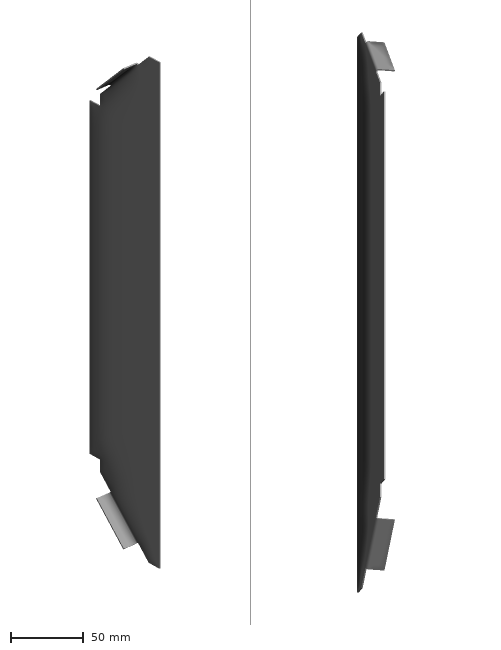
import cadquery as cq
import math

height = 398.0
width = 72.5
depth = 13.0
sheet = 1.0

step_width = 10.7
step_drop = 60.0
bevel = 50.5

tab_length = 39.8
bend_inner = 1.0
bend_outer = bend_inner + sheet

half_height = height / 2
half_strip = half_height - step_drop
bevel_low_z = half_height - bevel
bevel_high_x = step_width + bevel


def make_plate():
    """Flat sheet from Y = -sheet to Y = 0, symmetric about Z = 0."""
    upper_edge = [
        (0, half_strip),
        (step_width, half_strip),
        (step_width, bevel_low_z),
        (bevel_high_x, half_height),
        (width, half_height),
    ]
    lower_edge = [(x, -z) for x, z in reversed(upper_edge)]
    return cq.Workplane("XZ").polyline(upper_edge + lower_edge).close().extrude(sheet)


def make_upper_tab():
    """Bend and straight flange, swept along the upper bevel."""
    bevel_middle = cq.Vector(step_width + bevel / 2, 0, half_height - bevel / 2)
    outward = cq.Vector(-1, 0, 1)
    along_bevel = cq.Vector(1, 0, 1)
    section = cq.Plane(origin=bevel_middle, xDir=outward, normal=along_bevel)

    def bend_middle(radius):
        reach = radius * math.sqrt(0.5)
        return (reach, bend_outer - reach)

    return (
        cq.Workplane(section)
        .moveTo(0, 0)
        .threePointArc(bend_middle(bend_outer), (bend_outer, bend_outer))
        .lineTo(bend_outer, depth)
        .lineTo(bend_inner, depth)
        .lineTo(bend_inner, bend_outer)
        .threePointArc(bend_middle(bend_inner), (0, sheet))
        .close()
        .extrude(tab_length / 2, both=True)
    )


upper_tab = make_upper_tab()
lower_tab = upper_tab.mirror("XY")
result = make_plate().union(upper_tab).union(lower_tab)